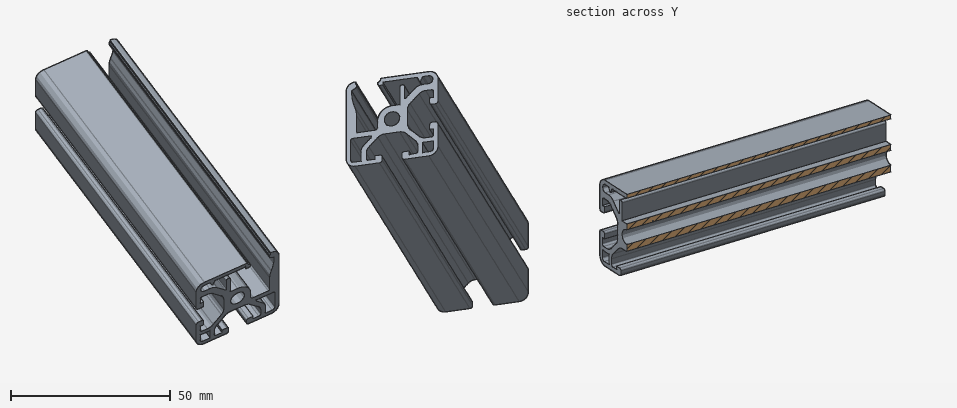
import cadquery as cq
import math


length = 100.0
side = 30.0
half = side / 2
corner_radius = 3.0
bore_diameter = 5.0

wall = 1.5
wall_face = half - wall
small_radius = 0.7
tiny_radius = 0.2

slot_half_gap = 3.2
lip_length = 2.4
lip_depth = 2.7
lip_radius = 0.9
slot_half_width = 8.4
slot_floor = 5.0
slot_bend_radius = 3.0
slot_offset = 1.3

square_hollow_start = 9.9
hollow_corner_radius = 1.0
left_hollow_side = 10.1
left_hollow_tip = 6.8
left_hollow_offset = 1.2
left_hollow_bend_radius = 2.8

hub_radius = 4.7
rib_start = 2.6
rib_width = 1.5
rib_top = 11.6

upper_web_offset = 2.2
upper_web_top = 10.7
upper_web_bend_radius = 3.8
pocket_end = 13.3
pocket_flat = 0.1
pocket_radius = (wall_face - upper_web_top - pocket_flat) / 2

ridge_center = 9.1
ridge_tip = 11.6
ridge_half_width = 0.9
ridge_root_radius = 0.4

hook_root = 3.0
hook_tip = hub_radius
hook_bottom = 12.5
hook_shoulder = 3.8
hook_slope_top = 14.3
hook_slope_bottom = 13.5
hook_edge_radius = 0.5

thick_face = 11.6
thin_face = 13.2
taper_bottom = 4.5
taper_top = 8.7
taper_bottom_radius = 8.4
taper_top_radius = 15.5
ledge = -slot_half_gap
ledge_wall_radius = 0.5
ledge_hub_radius = 1.0
bead_step = 11.9
bead_step_height = 14.4
bead_face = thick_face
bead_shoulder = 13.8
bead_bottom = 12.9
bead_root = 12.0


def rounded_loop(corners):
    """Closed wire through the corners, each replaced by a tangent arc of its radius."""
    section = cq.Plane(origin=(length / 2, 0, 0), xDir=(0, -1, 0), normal=(-1, 0, 0))
    spans = []
    for i, (x, y, radius) in enumerate(corners):
        corner = cq.Vector(x, y)
        back = (cq.Vector(*corners[i - 1][:2]) - corner).normalized()
        ahead = (cq.Vector(*corners[(i + 1) % len(corners)][:2]) - corner).normalized()
        half_angle = back.getAngle(ahead) / 2
        setback = radius / math.tan(half_angle)
        to_arc = radius / math.sin(half_angle) - radius
        middle = corner + (back + ahead).normalized() * to_arc
        spans.append((corner + back * setback, middle, corner + ahead * setback, radius))

    path = cq.Workplane(section).moveTo(*spans[0][2].toTuple()[:2])
    for start, middle, end, radius in spans[1:] + spans[:1]:
        path = path.lineTo(*start.toTuple()[:2])
        if radius > 0:
            path = path.threePointArc(middle.toTuple()[:2], end.toTuple()[:2])
    return path.close()


def prism(corners):
    return rounded_loop(corners).extrude(length)


def slot_half():
    """Upper half of the slot that opens toward -Y, from its mouth to its floor."""
    lip_back = half - lip_depth
    lip_end = slot_half_gap + lip_length
    return [
        (half, slot_half_gap, lip_radius),
        (lip_back, slot_half_gap, small_radius),
        (lip_back, lip_end, 0),
        (wall_face, lip_end, 0),
        (wall_face, slot_half_width, small_radius),
        (slot_half_width + slot_offset, slot_half_width, slot_bend_radius),
        (slot_floor, slot_floor - slot_offset, slot_bend_radius),
    ]


def side_slot():
    """Slot toward -Y, listed from top to bottom."""
    lower = [(x, -y, radius) for x, y, radius in reversed(slot_half())]
    return slot_half() + lower


def bottom_slot():
    """Slot toward -Z, listed from right to left: the side slot turned a quarter turn."""
    return [(y, -x, radius) for x, y, radius in side_slot()]


def left_wall():
    """Top bead and inner face of the left wall, from top to ledge."""
    return [
        (-half, half, corner_radius),
        (-bead_step, half, 0),
        (-bead_step, bead_step_height, 0),
        (-bead_face, bead_shoulder, 0),
        (-bead_face, bead_bottom, tiny_radius),
        (-thin_face, bead_root, 0),
        (-thin_face, taper_top, taper_top_radius),
        (-thick_face, taper_bottom, taper_bottom_radius),
        (-thick_face, ledge, ledge_wall_radius),
    ]


def hub_and_rib():
    """Ledge end, round shoulder of the hub, and the upright rib."""
    rib_end = rib_start + rib_width
    return [
        (-hub_radius, ledge, ledge_hub_radius),
        (-hub_radius, hub_radius, hub_radius),
        (rib_start, hub_radius, 0),
        (rib_start, rib_top, small_radius),
        (rib_end, rib_top, small_radius),
        (rib_end, rib_end + upper_web_offset, tiny_radius),
    ]


def top_wall():
    """Upper web, rounded pocket, ridge and hooked edge, ending on the top face."""
    return [
        (upper_web_top - upper_web_offset, upper_web_top, upper_web_bend_radius),
        (pocket_end, upper_web_top, pocket_radius),
        (pocket_end, wall_face, pocket_radius),
        (ridge_center + ridge_half_width, wall_face, ridge_root_radius),
        (ridge_center, ridge_tip, tiny_radius),
        (ridge_center - ridge_half_width, wall_face, ridge_root_radius),
        (-hook_root, wall_face, 0),
        (-hook_root, hook_bottom, 0),
        (-hook_tip, hook_bottom, small_radius),
        (-hook_tip, hook_slope_bottom, tiny_radius),
        (-hook_shoulder, hook_slope_top, 0),
        (-hook_shoulder, half, hook_edge_radius),
        (half, half, corner_radius),
    ]


def body():
    lower_right = [(half, -half, corner_radius)]
    lower_left = [(-half, -half, corner_radius)]
    return prism(left_wall() + hub_and_rib() + top_wall() + side_slot()
                 + lower_right + bottom_slot() + lower_left)


def square_hollow():
    return prism([
        (square_hollow_start, -square_hollow_start, 0),
        (wall_face, -square_hollow_start, 0),
        (wall_face, -wall_face, hollow_corner_radius),
        (square_hollow_start, -wall_face, 0),
    ])


def left_hollow():
    return prism([
        (-wall_face, -slot_floor, small_radius),
        (-left_hollow_tip, -slot_floor, 0),
        (-left_hollow_tip, -left_hollow_tip + left_hollow_offset, 0),
        (-left_hollow_side, -left_hollow_side + left_hollow_offset, left_hollow_bend_radius),
        (-left_hollow_side, -wall_face, 0),
        (-wall_face, -wall_face, hollow_corner_radius),
    ])


bore = cq.Workplane("YZ").circle(bore_diameter / 2).extrude(length / 2, both=True)

result = body().cut(square_hollow()).cut(left_hollow()).cut(bore)